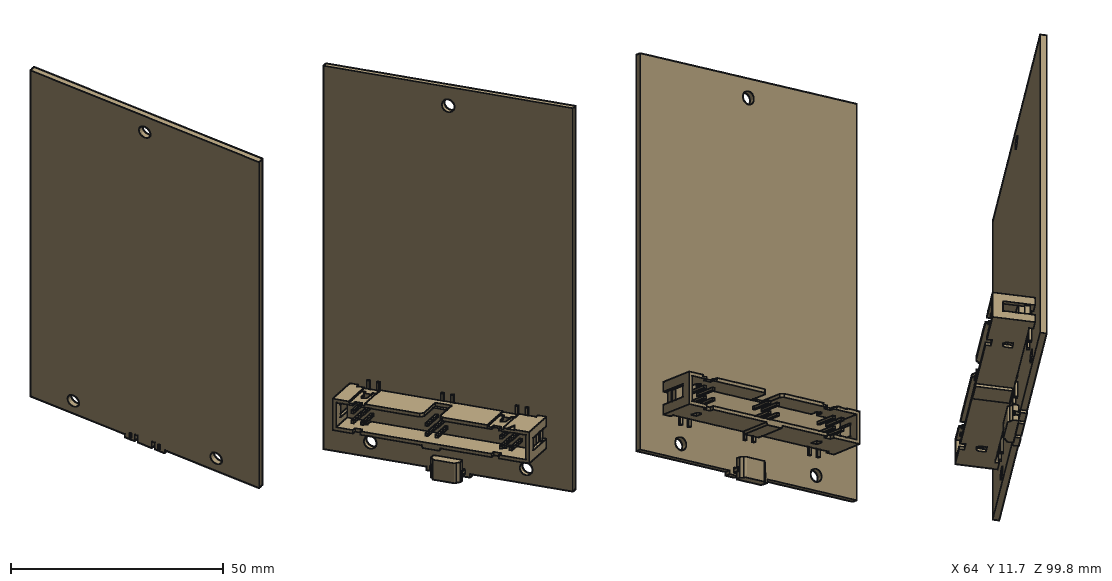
import cadquery as cq


BOARD_WIDTH = 64.01
BOARD_HEIGHT = 98.0
BOARD_THICKNESS = 1.6
TAB_WIDTH = 11.2
TAB_DROP = 0.9
HOLE_DIAMETER = 3.2
TOP_HOLE_Z = 93.2
LOWER_HOLE_Z = 3.8
LOWER_HOLE_SPACING = 40.0

LEG_X = 4.0
LEG_SLOT_WIDTH = 0.7
LEG_SLOT_LENGTH = 1.4
LEG_SLOT_Z = 0.35
NOTCH_X = 2.4
NOTCH_WIDTH = 0.8
NOTCH_TOP_Z = 1.1

SOCKET_WIDTH = 7.5
SOCKET_ROOF_WIDTH = 6.0
SOCKET_HEIGHT = 2.6
SOCKET_BEVEL_LOW_Y = 3.1
SOCKET_BEVEL_HIGH_Y = 3.75
SOCKET_TOP_Z = 3.3
SOCKET_BOTTOM_Z = -1.82
SOCKET_EDGE_RADIUS = 0.4
LEG_THICKNESS = 0.25
LEG_LENGTH = 1.0
LEG_RISE = 1.0
LEG_TIP_Y = 0.3

HEADER_LENGTH = 50.4
HEADER_DEPTH = 8.05
HEADER_Z = 14.0
HEADER_TOP_Y = 11.73
HEADER_BASE_Y = 2.6
HEADER_WALL = 0.9
CAVITY_FLOOR_Y = 5.35
FOOT_LENGTH = 2.2

END_SLOT_WIDTH = 3.2
END_SLOT_TOP_Y = 9.2
END_STEP_Y = 3.95
END_STEP_DEPTH = 0.4
KEY_SLOT_WIDTH = 4.2
KEY_SLOT_BASE_Y = 4.3
KEY_CHAMFER = 0.8
KEY_RIB_HEIGHT = 0.65
KEY_RIB_BASE_Y = 2.8
KEY_RIB_FLANK = 0.3

PIN_PITCH = 2.54
LATCH_CENTRE_X = PIN_PITCH / 2
LATCH_OFFSET_X = 7 * PIN_PITCH
LATCH_WIDTH = 4.05
LATCH_SHALLOW = 0.2
LATCH_DEEP = 0.4
LATCH_STEP_Y = 4.35
LATCH_NOTCH_WIDTH = 1.9
LATCH_NOTCH_DEPTH = 1.25
WINDOW_WIDTH = 1.6
WINDOW_TOP_Y = 7.75

MARK_X = -20.45
MARK_WIDTH = 1.9
MARK_LENGTH = 2.4
MARK_DEPTH = 0.15

PIN_SIZE = 0.64
PIN_TOP_Y = 11.4
PIN_ROW_OFFSET = PIN_PITCH / 2
TAIL_REACH = 5.7
PIN_COLUMNS = [k * PIN_PITCH for k in (-8, -7, -0.5, 0.5, 7, 8)]

HEADER_FRONT_Z = HEADER_Z + HEADER_DEPTH / 2
HEADER_BACK_Z = HEADER_Z - HEADER_DEPTH / 2
OVERCUT = 1.0


def block(x_range, y_range, z_range):
    """Box between two limits on each axis."""
    lows, highs = zip(x_range, y_range, z_range)
    sizes = [high - low for low, high in zip(lows, highs)]
    return cq.Workplane("XY").box(*sizes, centered=False).translate(lows)


def around(centre, width):
    """Limits of a width centred on a place."""
    return (centre - width / 2, centre + width / 2)


def prism_along_z(points, z_low, z_high):
    """Polygon in X and Y carried from z_low to z_high."""
    return cq.Workplane("XY").workplane(offset=z_low).polyline(points).close().extrude(z_high - z_low)


def through_board(outlines):
    """Carry outlines on the XZ plane through the whole board."""
    return outlines.extrude(-BOARD_THICKNESS)


def make_board():
    through = (0, BOARD_THICKNESS)
    board = block(around(0, BOARD_WIDTH), through, (0, BOARD_HEIGHT))
    board = board.union(block(around(0, TAB_WIDTH), through, (-TAB_DROP, OVERCUT)))
    hole_places = [
        (0, TOP_HOLE_Z),
        (-LOWER_HOLE_SPACING / 2, LOWER_HOLE_Z),
        (LOWER_HOLE_SPACING / 2, LOWER_HOLE_Z),
    ]
    holes = cq.Workplane("XZ").pushPoints(hole_places).circle(HOLE_DIAMETER / 2)
    board = board.cut(through_board(holes))
    leg_slots = cq.Workplane("XZ").pushPoints([(-LEG_X, LEG_SLOT_Z), (LEG_X, LEG_SLOT_Z)])
    board = board.cut(through_board(leg_slots.slot2D(LEG_SLOT_LENGTH, LEG_SLOT_WIDTH, 90)))
    for side in (-1, 1):
        notch_x = around(side * NOTCH_X, NOTCH_WIDTH)
        board = board.cut(block(notch_x, through, (-TAB_DROP - OVERCUT, NOTCH_TOP_Z)))
    return board


def make_socket():
    """Socket body with bevelled upper sides and rounded edges, and two legs standing in the board slots."""
    base_y = BOARD_THICKNESS
    top_y = base_y + SOCKET_HEIGHT
    half_roof = SOCKET_ROOF_WIDTH / 2
    half_width = SOCKET_WIDTH / 2
    outline = [
        (-half_width, base_y),
        (half_width, base_y),
        (half_width, SOCKET_BEVEL_LOW_Y),
        (half_roof, SOCKET_BEVEL_HIGH_Y),
        (half_roof, top_y),
        (-half_roof, top_y),
        (-half_roof, SOCKET_BEVEL_HIGH_Y),
        (-half_width, SOCKET_BEVEL_LOW_Y),
    ]
    socket = prism_along_z(outline, SOCKET_BOTTOM_Z, SOCKET_TOP_Z)
    socket = socket.edges("|Z and (>Y or <Y)").fillet(SOCKET_EDGE_RADIUS)
    leg_z = around(LEG_SLOT_Z, LEG_LENGTH)
    shoulder_y = base_y + LEG_RISE
    for side in (-1, 1):
        leg = block(around(side * LEG_X, LEG_THICKNESS), (LEG_TIP_Y, shoulder_y + LEG_THICKNESS), leg_z)
        shoulder_x = sorted((side * LEG_X, side * half_roof))
        shoulder = block(shoulder_x, (shoulder_y, shoulder_y + LEG_THICKNESS), leg_z)
        socket = socket.union(leg).union(shoulder)
    return socket


def make_header_body():
    """Hollow box on four feet, with a tapered key rib on its lower side."""
    half_length = HEADER_LENGTH / 2
    full_z = (HEADER_BACK_Z, HEADER_FRONT_Z)
    body = block(around(0, HEADER_LENGTH), (HEADER_BASE_Y, HEADER_TOP_Y), full_z)
    for low_x in (-half_length, half_length - FOOT_LENGTH):
        foot = block((low_x, low_x + FOOT_LENGTH), (BOARD_THICKNESS, HEADER_BASE_Y), full_z)
        body = body.union(foot)
    rib_outline = [
        (-KEY_SLOT_WIDTH / 2 - KEY_RIB_FLANK, HEADER_BACK_Z),
        (KEY_SLOT_WIDTH / 2 + KEY_RIB_FLANK, HEADER_BACK_Z),
        (KEY_SLOT_WIDTH / 2, HEADER_BACK_Z - KEY_RIB_HEIGHT),
        (-KEY_SLOT_WIDTH / 2, HEADER_BACK_Z - KEY_RIB_HEIGHT),
    ]
    rib_plane = cq.Workplane("XZ", origin=(0, KEY_RIB_BASE_Y, 0))
    rib = rib_plane.polyline(rib_outline).close().extrude(KEY_RIB_BASE_Y - HEADER_TOP_Y)
    cavity = block(
        around(0, HEADER_LENGTH - 2 * HEADER_WALL),
        (CAVITY_FLOOR_Y, HEADER_TOP_Y + OVERCUT),
        around(HEADER_Z, HEADER_DEPTH - 2 * HEADER_WALL),
    )
    return body.union(rib).cut(cavity)


def end_slots():
    """Slots in both end walls, shallower below the step and clearing the gap between the feet."""
    half_length = HEADER_LENGTH / 2
    slot_z = around(HEADER_Z, END_SLOT_WIDTH)
    cuts = cq.Workplane("XY")
    for side in (-1, 1):
        levels = [
            (BOARD_THICKNESS, HEADER_BASE_Y, FOOT_LENGTH),
            (HEADER_BASE_Y, END_STEP_Y, HEADER_WALL - END_STEP_DEPTH),
            (END_STEP_Y, END_SLOT_TOP_Y, HEADER_WALL),
        ]
        for low_y, high_y, depth in levels:
            slot_x = sorted((side * half_length, side * (half_length - depth)))
            cuts = cuts.add(block(slot_x, (low_y, high_y), slot_z))
    return cuts.combine()


def key_slot():
    """Key slot through the upper wall with a flared mouth."""
    half_width = KEY_SLOT_WIDTH / 2
    half_mouth = half_width + KEY_CHAMFER
    outline = [
        (-half_width, KEY_SLOT_BASE_Y),
        (half_width, KEY_SLOT_BASE_Y),
        (half_width, HEADER_TOP_Y - KEY_CHAMFER),
        (half_mouth, HEADER_TOP_Y),
        (-half_mouth, HEADER_TOP_Y),
        (-half_width, HEADER_TOP_Y - KEY_CHAMFER),
    ]
    return prism_along_z(outline, HEADER_FRONT_Z - HEADER_WALL, HEADER_FRONT_Z)


def latch_cuts(x):
    """Stepped recess in the upper wall, with a notch and an arched window through both walls."""
    recess_x = around(x, LATCH_WIDTH)
    shallow_z = (HEADER_FRONT_Z - LATCH_SHALLOW, HEADER_FRONT_Z)
    deep_z = (HEADER_FRONT_Z - LATCH_DEEP, HEADER_FRONT_Z)
    shallow = block(recess_x, (HEADER_BASE_Y, HEADER_TOP_Y), shallow_z)
    deep = block(recess_x, (LATCH_STEP_Y, HEADER_TOP_Y), deep_z)
    tongue = block(around(x, LATCH_NOTCH_WIDTH), (LATCH_STEP_Y, CAVITY_FLOOR_Y), deep_z)
    recess = deep.cut(tongue).union(shallow)

    through_z = (HEADER_BACK_Z - OVERCUT, HEADER_FRONT_Z + OVERCUT)
    notch_y = (HEADER_TOP_Y - LATCH_NOTCH_DEPTH, HEADER_TOP_Y)
    notch = block(around(x, LATCH_NOTCH_WIDTH), notch_y, through_z)

    radius = WINDOW_WIDTH / 2
    window = (
        cq.Workplane("XY", origin=(x, 0, through_z[0]))
        .moveTo(-radius, CAVITY_FLOOR_Y)
        .lineTo(radius, CAVITY_FLOOR_Y)
        .lineTo(radius, WINDOW_TOP_Y - radius)
        .threePointArc((0, WINDOW_TOP_Y), (-radius, WINDOW_TOP_Y - radius))
        .close()
        .extrude(through_z[1] - through_z[0])
    )
    return recess.union(notch).union(window)


def pin_one_mark():
    outline = [
        (MARK_X - MARK_WIDTH / 2, HEADER_TOP_Y),
        (MARK_X + MARK_WIDTH / 2, HEADER_TOP_Y),
        (MARK_X, HEADER_TOP_Y - MARK_LENGTH),
    ]
    return prism_along_z(outline, HEADER_FRONT_Z - MARK_DEPTH, HEADER_FRONT_Z)


def make_header():
    header = make_header_body().cut(end_slots()).cut(key_slot()).cut(pin_one_mark())
    for side in (-1, 1):
        header = header.cut(latch_cuts(LATCH_CENTRE_X + side * LATCH_OFFSET_X))
    return header


def make_pin(x, side):
    """Square pin standing on the board, its tail running outward under the header wall."""
    pin_x = around(x, PIN_SIZE)
    row_z = HEADER_Z + side * PIN_ROW_OFFSET
    post = block(pin_x, (BOARD_THICKNESS, PIN_TOP_Y), around(row_z, PIN_SIZE))
    tail_z = sorted((row_z, HEADER_Z + side * TAIL_REACH))
    tail = block(pin_x, (BOARD_THICKNESS, BOARD_THICKNESS + PIN_SIZE), tail_z)
    return post.union(tail)


result = make_board().union(make_socket()).union(make_header())
for column_x in PIN_COLUMNS:
    for row_side in (-1, 1):
        result = result.union(make_pin(column_x, row_side))